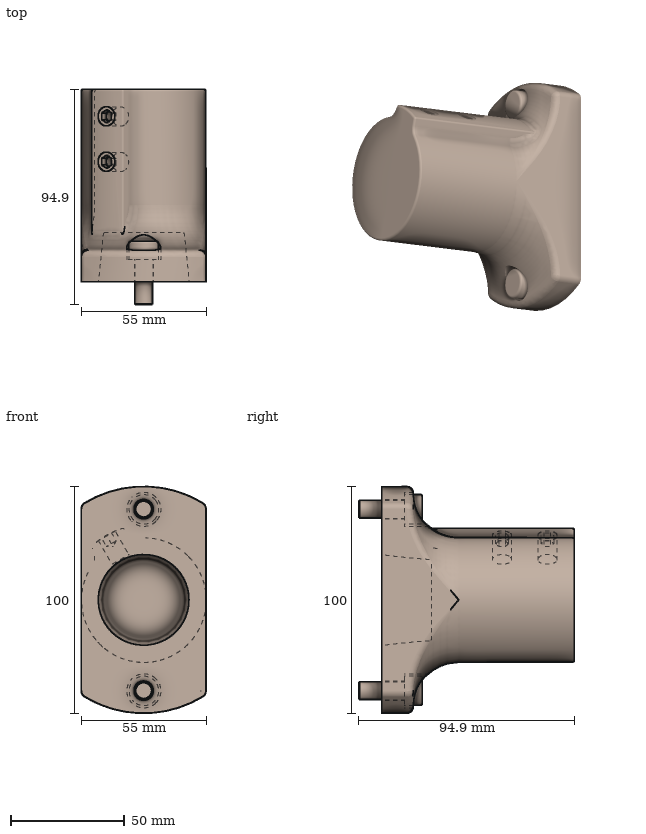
import cadquery as cq
import math


FLANGE_RADIUS = 50.0
WIDTH = 55.0
FLANGE_THICKNESS = 14.0
FLANGE_CORNER_RADIUS = 3.0
FLANGE_EDGE_RADIUS = 3.0
BARREL_RADIUS = WIDTH / 2
BARREL_END = 84.9
BARREL_EDGE_RADIUS = 1.0
FLARE_RADIUS = 20.0
FLARE_END = FLANGE_THICKNESS + FLARE_RADIUS

BORE_MOUTH_DIAMETER = 40.0
BORE_FLOOR_DIAMETER = 35.6
BORE_DEPTH = 22.0
BORE_FLOOR_RADIUS = 1.0

PAD_LEAN = 30.0
PAD_RADIUS = 33.0
PAD_HALF_WIDTH = 8.0
PAD_SIDE_DRAFT = 14.0
PAD_EDGE_RADIUS = 1.0
PAD_BLEND_EDGE_RADIUS = 2.2
PAD_BASE_RADIUS = 5.0
PAD_START = 15.0
PAD_ROOT_HEIGHT = 20.0

SCREW_OFFSET = 40.0
SCREW_DIAMETER = 8.0
SCREW_LENGTH = 20.0
SCREW_TIP_CHAMFER = 0.5
HEAD_DIAMETER = 13.0
HEAD_HEIGHT = 8.0
HEAD_EDGE_RADIUS = 1.0
SCREW_HOLE_DIAMETER = 8.5
COUNTERBORE_DIAMETER = 15.0
COUNTERBORE_FLOOR = 10.0

SET_SCREW_DIAMETER = 8.5
SET_SCREW_LENGTH = 12.0
SET_SCREW_TOP = 32.7
SET_SCREW_POSITIONS = (53.0, 72.9)
SOCKET_WIDTH = 5.0
SOCKET_DEPTH = 4.0
SOCKET_TIP_DEPTH = 1.4

BOTH_ENDS = (1, -1)


def cylinder_along_y(diameter, start, end, z=0.0):
    """Cylinder parallel to Y between two Y positions, centred at X = 0 and the given Z."""
    return (
        cq.Workplane("XZ", origin=(0, start, 0))
        .center(0, z)
        .circle(diameter / 2)
        .extrude(start - end)
    )


def lean_with_pad(shape):
    """Turn a shape that points to +Z about the Y axis into the pad direction."""
    return shape.rotate((0, 0, 0), (0, 1, 0), -PAD_LEAN)


def make_flange():
    """Flat-sided round flange with a concave flare up to the barrel."""
    plate = (
        cylinder_along_y(2 * FLANGE_RADIUS, 0, FLARE_END)
        .intersect(cq.Workplane("XY").box(WIDTH, 2 * FLARE_END, 2 * FLANGE_RADIUS))
        .edges("|Y")
        .fillet(FLANGE_CORNER_RADIUS)
    )
    flare_foot = BARREL_RADIUS + FLARE_RADIUS
    flare_inset = FLARE_RADIUS * math.sin(math.radians(45))
    flare = (
        cq.Workplane("XY")
        .lineTo(FLANGE_RADIUS, 0)
        .lineTo(FLANGE_RADIUS, FLANGE_THICKNESS)
        .lineTo(flare_foot, FLANGE_THICKNESS)
        .threePointArc((flare_foot - flare_inset, FLARE_END - flare_inset), (BARREL_RADIUS, FLARE_END))
        .lineTo(0, FLARE_END)
        .close()
        .revolve(360, (0, 0, 0), (0, 1, 0))
    )
    flange = plate.intersect(flare)
    rim_arcs = flange.edges("%CIRCLE").edges(cq.selectors.RadiusNthSelector(-1)).edges(">Y")
    return rim_arcs.fillet(FLANGE_EDGE_RADIUS)


def make_pad(edge_radius):
    """Pad with drafted sides, rounded edges and a top that is concentric with the barrel."""
    top = math.sqrt(PAD_RADIUS**2 - PAD_HALF_WIDTH**2)
    root_half_width = PAD_HALF_WIDTH + (top - PAD_ROOT_HEIGHT) * math.tan(math.radians(PAD_SIDE_DRAFT))
    pad = (
        cq.Workplane("XZ", origin=(0, PAD_START, 0))
        .moveTo(-root_half_width, PAD_ROOT_HEIGHT)
        .lineTo(-PAD_HALF_WIDTH, top)
        .threePointArc((0, PAD_RADIUS), (PAD_HALF_WIDTH, top))
        .lineTo(root_half_width, PAD_ROOT_HEIGHT)
        .close()
        .extrude(PAD_START - BARREL_END)
    )
    return lean_with_pad(pad.edges("|Y").edges(">Z").fillet(edge_radius))


def make_barrel_and_pad(flange):
    """Add the barrel and the blended pad to the flange, then round the rear rim."""
    body = flange.union(cylinder_along_y(WIDTH, 0, BARREL_END))
    body = body.union(make_pad(PAD_BLEND_EDGE_RADIUS))
    base_middle = (FLARE_END + BARREL_END) / 2
    base_edge = lean_with_pad(cq.Vertex.makeVertex(PAD_HALF_WIDTH, base_middle, BARREL_RADIUS)).toTuple()
    body = body.edges(cq.selectors.NearestToPointSelector(base_edge)).fillet(PAD_BASE_RADIUS)
    body = body.union(make_pad(PAD_EDGE_RADIUS))
    return body.faces(">Y").edges().fillet(BARREL_EDGE_RADIUS)


def make_bore():
    """Tapered blind bore with a rounded floor edge."""
    bore = (
        cq.Workplane("XZ")
        .circle(BORE_MOUTH_DIAMETER / 2)
        .workplane(offset=-BORE_DEPTH)
        .circle(BORE_FLOOR_DIAMETER / 2)
        .loft(ruled=True)
    )
    return bore.faces(">Y").edges().fillet(BORE_FLOOR_RADIUS)


def set_screw_cylinder(position, length):
    """Cylinder on the axis of one set screw, measured outward from the inner end of the screw."""
    cylinder = (
        cq.Workplane("XY", origin=(0, position, SET_SCREW_TOP - SET_SCREW_LENGTH))
        .circle(SET_SCREW_DIAMETER / 2)
        .extrude(length)
    )
    return lean_with_pad(cylinder)


def make_housing():
    """Flange, barrel and pad in one piece, with the bore and all the screw holes."""
    housing = make_barrel_and_pad(make_flange()).cut(make_bore())
    for end in BOTH_ENDS:
        z = end * SCREW_OFFSET
        housing = housing.cut(cylinder_along_y(SCREW_HOLE_DIAMETER, 0, COUNTERBORE_FLOOR, z))
        housing = housing.cut(cylinder_along_y(COUNTERBORE_DIAMETER, COUNTERBORE_FLOOR, FLARE_END, z))
    set_screw_hole_length = SET_SCREW_LENGTH + PAD_RADIUS - SET_SCREW_TOP
    for position in SET_SCREW_POSITIONS:
        housing = housing.cut(set_screw_cylinder(position, set_screw_hole_length))
    return housing


def make_flange_screw(z):
    """Cap screw whose head sits in a counterbore and whose tip sticks out of the flange front."""
    head = (
        cylinder_along_y(HEAD_DIAMETER, COUNTERBORE_FLOOR, COUNTERBORE_FLOOR + HEAD_HEIGHT, z)
        .faces(">Y")
        .edges()
        .fillet(HEAD_EDGE_RADIUS)
    )
    shank = (
        cylinder_along_y(SCREW_DIAMETER, COUNTERBORE_FLOOR - SCREW_LENGTH, COUNTERBORE_FLOOR, z)
        .faces("<Y")
        .edges()
        .chamfer(SCREW_TIP_CHAMFER)
    )
    return head.union(shank)


def make_set_screw(position):
    """Headless screw with a hexagon socket that ends in a drill tip."""
    floor_height = SET_SCREW_TOP - SOCKET_DEPTH
    hexagon = (
        cq.Workplane("XY", origin=(0, position, floor_height))
        .transformed(rotate=(0, 0, 90))
        .polygon(6, SOCKET_WIDTH / math.cos(math.radians(30)))
        .extrude(SOCKET_DEPTH)
    )
    tip = cq.Solid.makeCone(
        SOCKET_WIDTH / 2, 0, SOCKET_TIP_DEPTH, pnt=(0, position, floor_height), dir=(0, 0, -1)
    )
    socket = lean_with_pad(hexagon.union(cq.Workplane(tip)))
    return set_screw_cylinder(position, SET_SCREW_LENGTH).cut(socket)


housing = make_housing()
flange_screws = [make_flange_screw(end * SCREW_OFFSET) for end in BOTH_ENDS]
set_screws = [make_set_screw(position) for position in SET_SCREW_POSITIONS]

result = cq.Compound.makeCompound(
    [housing.val()]
    + [screw.val() for screw in flange_screws]
    + [screw.val() for screw in set_screws]
)